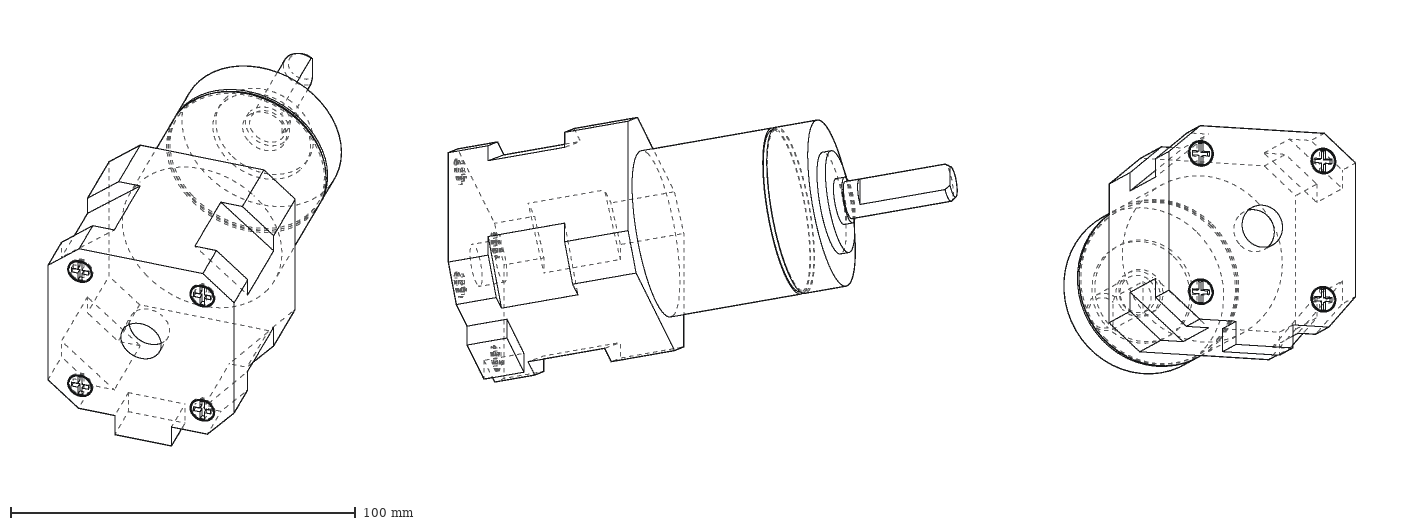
import cadquery as cq


body_size = 57.13
half_body = body_size / 2
body_length = 54.4

upper_bevel = (9.6, 8.2)
lower_left_bevel = (9.4, 8.0)
lower_right_bevel = (8.2, 9.5)
notch_legs = (16.2, 13.6)
lower_right_notch_legs = (13.6, 16.2)
corners = [
    (-1, 1, upper_bevel, notch_legs),
    (1, 1, upper_bevel, notch_legs),
    (-1, -1, lower_left_bevel, notch_legs),
    (1, -1, lower_right_bevel, lower_right_notch_legs),
]

plug_width = 17.4
plug_length = 12.1
overall_height = 63.93
plug_drop = overall_height - body_size
plug_center_x = 0.65
notch_length = 23.1

rear_hole_diameter = 12.4
rear_hole_depth = 7.5
screw_pitch_x = 37.5
screw_pitch_z = 40.8
screw_hole_diameter = 7.5
screw_head_diameter = 6.9
screw_gap_depth = 0.6
cross_length_x = 5.2
cross_length_z = 6.4
cross_width = 1.3
cross_depth = 1.8

gearbox_diameter = 49.0
gearbox_length = 39.5
groove_diameter = 47.8
groove_length = 1.2
cap_length = 12.4
boss_diameter = 30.0
boss_length = 2.55
collar_diameter = 13.5
collar_length = 2.6
shaft_diameter = 11.0
shaft_tip_y = 144.19
shaft_chamfer_length = 1.5
shaft_chamfer_depth = 1.0
flat_offset = 3.0
flat_length = 27.2


def along_y(start_y):
    """Workplane at start_y whose extrusions run toward +Y; local x is X, local y is -Z."""
    return cq.Workplane("XZ", origin=(0, start_y, 0)).transformed(rotate=(180, 0, 0))


def corner_prism(side_x, side_z, legs, start_y, length):
    """Triangular prism that fills one corner of the body's square outline."""
    corner_x = side_x * half_body
    corner_z = side_z * half_body
    leg_x, leg_z = legs
    return (
        along_y(start_y)
        .moveTo(corner_x, -corner_z)
        .lineTo(corner_x - side_x * leg_x, -corner_z)
        .lineTo(corner_x, -(corner_z - side_z * leg_z))
        .close()
        .extrude(length)
    )


def motor_body():
    """Square block with four beveled corners, each notched deeper along its middle."""
    body = along_y(0).rect(body_size, body_size).extrude(body_length)
    for side_x, side_z, bevel, notch in corners:
        body = body.cut(corner_prism(side_x, side_z, bevel, 0, body_length))
        body = body.cut(corner_prism(side_x, side_z, notch, plug_length, notch_length))
    return body


def plug_housing():
    """Plug housing hanging below the body; its upper half is buried in the body."""
    return (
        along_y(0)
        .center(plug_center_x, half_body)
        .rect(plug_width, 2 * plug_drop)
        .extrude(plug_length)
    )


def screw_recesses():
    """Four screws flush with the rear face: a ring gap around each head and a cross slot in it."""
    centers = along_y(0).rect(screw_pitch_x, screw_pitch_z, forConstruction=True).vertices()
    heads = centers.circle(screw_head_diameter / 2).extrude(screw_gap_depth)
    recesses = centers.circle(screw_hole_diameter / 2).extrude(screw_gap_depth).cut(heads)
    for size_x, size_z in [(cross_length_x, cross_width), (cross_width, cross_length_z)]:
        recesses = recesses.union(centers.rect(size_x, size_z).extrude(cross_depth))
    return recesses


def drive_train():
    """Gearbox, groove, cap, boss, collar and plain shaft stacked along +Y."""
    steps = [
        (gearbox_diameter, gearbox_length),
        (groove_diameter, groove_length),
        (gearbox_diameter, cap_length),
        (boss_diameter, boss_length),
        (collar_diameter, collar_length),
    ]
    profile = cq.Workplane("XY").moveTo(0, body_length)
    y = body_length
    for diameter, length in steps:
        profile = profile.lineTo(diameter / 2, y)
        y += length
        profile = profile.lineTo(diameter / 2, y)
    shaft_radius = shaft_diameter / 2
    return (
        profile.lineTo(shaft_radius, y)
        .lineTo(shaft_radius, shaft_tip_y - shaft_chamfer_length)
        .lineTo(shaft_radius - shaft_chamfer_depth, shaft_tip_y)
        .lineTo(0, shaft_tip_y)
        .close()
        .revolve(360, (0, 0, 0), (0, 1, 0))
    )


def shaft_flat():
    """Material removed from the +X side of the shaft to make its D shape."""
    return (
        along_y(shaft_tip_y - flat_length)
        .center(flat_offset + shaft_diameter / 2, 0)
        .rect(shaft_diameter, shaft_diameter)
        .extrude(flat_length)
    )


rear_hole = along_y(0).circle(rear_hole_diameter / 2).extrude(rear_hole_depth)

result = motor_body().union(plug_housing()).union(drive_train())
result = result.cut(rear_hole).cut(screw_recesses()).cut(shaft_flat())